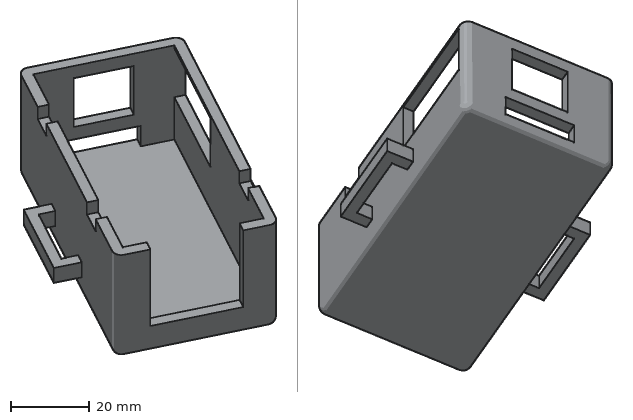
import cadquery as cq

length = 80.0
width = 44.0
height = 34.0
wall = 3.0
edge_radius = 2.5

loop_length = 25.0
loop_reach = 7.5
loop_bar = wall
loop_height = 5.0
loop_bottom = 6.0

notch_width = 7.2
notch_depth = 4.0
notch_offset = 20.4

port_width = 16.2
port_bottom = 13.9
port_top = 29.9
slot_width = 19.9
slot_top = 9.8

end_cutout_width = loop_length
end_cutout_bottom = 8.8

window_left = -length / 2 + wall
window_right = -7.2
window_bottom = 17.0
window_rim = 1.0


def block(x_range, y_range, z_range):
    """Axis-aligned box spanning the given (low, high) ranges."""
    sizes = [high - low for low, high in (x_range, y_range, z_range)]
    corner = (x_range[0], y_range[0], z_range[0])
    return cq.Workplane("XY").box(*sizes, centered=False).translate(corner)


def centred(size, middle=0.0):
    """Range of the given size around a middle position."""
    return (middle - size / 2, middle + size / 2)


def make_tray():
    outer = cq.Workplane("XY").box(length, width, height, centered=(True, True, False))
    outer = outer.edges("|Z or <Z").fillet(edge_radius)
    cavity = block(centred(length - 2 * wall), centred(width - 2 * wall), (wall, height))
    return outer.cut(cavity)


def make_loops():
    """Both strap loops, as one frame that the tray body fills in the middle."""
    z_range = (loop_bottom, loop_bottom + loop_height)
    span = width + 2 * loop_reach
    frame = block(centred(loop_length), centred(span), z_range)
    opening = block(centred(loop_length - 2 * loop_bar), centred(span - 2 * loop_bar), z_range)
    tray_space = block(centred(length), centred(width), z_range)
    return frame.cut(opening).cut(tray_space)


front_wall = (-width / 2, -width / 2 + wall)
back_wall = (width / 2 - wall, width / 2)
left_wall = (-length / 2, -length / 2 + wall)
right_wall = (length / 2 - wall, length / 2)

result = make_tray().union(make_loops())

for notch_x, notched_wall in (
    (-notch_offset, front_wall),
    (notch_offset, front_wall),
    (notch_offset, back_wall),
):
    result = result.cut(block(centred(notch_width, notch_x), notched_wall, (height - notch_depth, height)))

result = result.cut(block(left_wall, centred(port_width), (port_bottom, port_top)))
result = result.cut(block(left_wall, centred(slot_width), (wall, slot_top)))

result = result.cut(block(right_wall, centred(end_cutout_width), (end_cutout_bottom, height)))

result = result.cut(block((window_left, window_right), back_wall, (window_bottom, height - window_rim)))